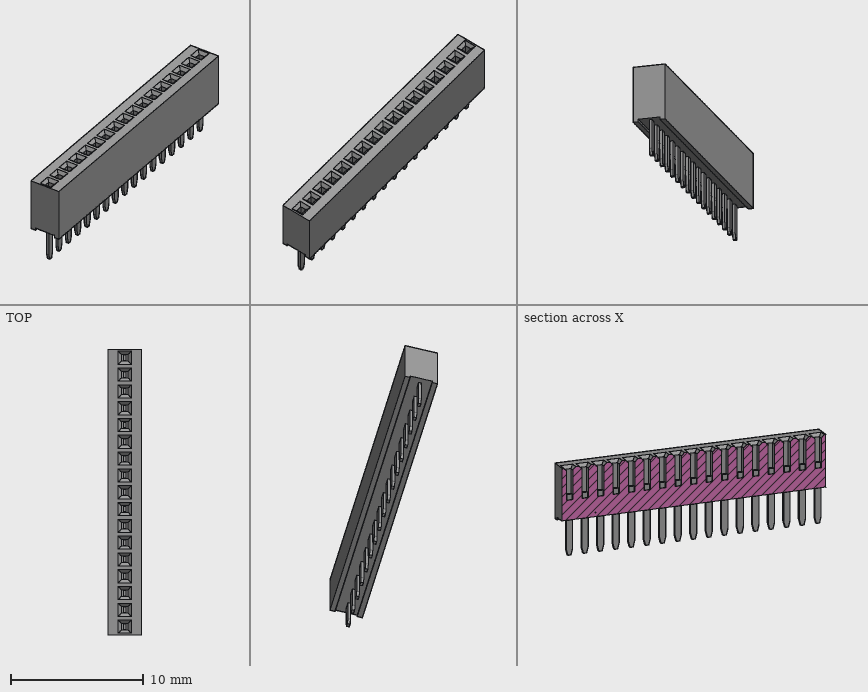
import cadquery as cq

body_width = 2.55
body_length = 21.6
total_height = 7.0

body_height = 4.4
foot_width = 0.4
foot_height = 0.2

contact_count = 17
pitch = body_length / contact_count

mouth_size = 1.0
well_size = 0.5
mouth_depth = (mouth_size - well_size) / 2
socket_depth = 2.6

pin_thickness = 0.22
pin_width = 0.52
pin_tip_width = 0.25
pin_taper_height = 0.5
contact_width = 0.4
contact_rise = 0.43

body_top = body_height
pin_tip = body_top - total_height
socket_floor = body_top - socket_depth
contact_top = socket_floor + contact_rise


def make_housing():
    """Plain bar with a channel along its underside, leaving a foot on each side."""
    bar = cq.Workplane("XY").box(body_width, body_length, body_height, centered=(True, True, False))
    channel_width = body_width - 2 * foot_width
    channel = cq.Workplane("XY").box(channel_width, body_length, foot_height, centered=(True, True, False))
    return bar.cut(channel)


def make_socket():
    """Solid of the space inside one socket."""
    mouth = (
        cq.Workplane("XY", origin=(0, 0, body_top))
        .rect(mouth_size, mouth_size)
        .workplane(offset=-mouth_depth)
        .rect(well_size, well_size)
        .loft(ruled=True)
    )
    well = (
        cq.Workplane("XY", origin=(0, 0, socket_floor))
        .rect(well_size, well_size)
        .extrude(socket_depth - mouth_depth)
    )
    return mouth.union(well)


def make_pin():
    """Flat blade in the YZ plane, tapered at its lower end and stepped to the contact at the top."""
    taper_top = pin_tip + pin_taper_height
    half_outline = [
        (pin_tip_width / 2, pin_tip),
        (pin_width / 2, taper_top),
        (pin_width / 2, socket_floor),
        (contact_width / 2, socket_floor),
        (contact_width / 2, contact_top),
    ]
    mirrored_outline = [(-y, z) for y, z in reversed(half_outline)]
    blade = cq.Workplane("YZ").polyline(half_outline + mirrored_outline).close()
    return blade.extrude(pin_thickness / 2, both=True)


socket = make_socket()
pin = make_pin()
result = make_housing()
for index in range(contact_count):
    position = (0, (index - (contact_count - 1) / 2) * pitch, 0)
    result = result.cut(socket.translate(position)).union(pin.translate(position))